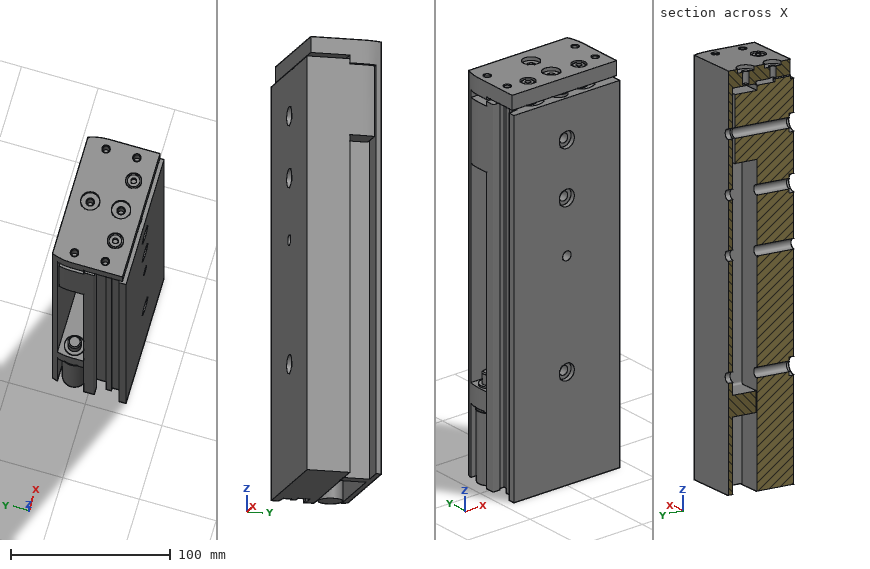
import cadquery as cq
import math

overall_depth = 49.0
overall_height = 279.5

housing_half_width = 42.5
housing_top = 266.7
housing_back = 27.7

plate_edge = 4.8
plate_root = 6.0
lip_front = 11.2
lip_back = 14.5
slot_back = 20.7
slot_corner_radius = 0.5
undercut_back = 22.5
groove_depth = 7.3
slot_mouth_depth = 5.3
slot_depth = 10.0

block_bottom = 217.8
block_top = 263.5
block_back = 44.0

boss_diameter = 12.0
boss_y = 8.5
boss_height = 2.0

hole_pitch = 40.0
first_hole_z = 78.0
counterbored_hole_z = [first_hole_z + hole_pitch * step for step in (0, 3, 4)]
plain_hole_z = first_hole_z + hole_pitch * 2
mounting_hole_diameter = 6.7
counterbore_diameter = 12.0
housing_counterbore_depth = 3.4

slide_half_width = 42.0
slide_bottom = 0.8
slide_front = 28.0
back_plate_front = 45.3
end_plate_front = 2.5
end_plate_bottom = 269.3
pocket_top = 267.5
pocket_fillet = 1.7
bracket_bottom = 51.7
bracket_top = 66.3
web_left = 16.8
web_right = 25.2
web_clearance = 0.8
right_pocket_top = 264.2

crown_start = 36.0
crown_radius = 36.3

end_row_front = 15.7
end_row_back = 35.8
thread_x = 35.2
thread_diameter = 4.2
thread_chamfer = 0.5
thread_depth = 8.5
end_counterbore_depth = 2.5

rod_x = 20.5
rod_y = 13.5
rod_diameter = 11.0
rod_neck_diameter = 10.0
rod_insertion = 28.0
rod_top = 279.0
rod_chamfer = 1.0
rod_recess_diameter = 20.0
rod_recess_depth = 1.5
rod_socket_diameter = 3.5
rod_socket_depth = 2.8

shock_x = -33.8
shock_y = 36.0
shock_diameter = 15.7
shock_collar_diameter = 16.8
shock_collar_height = 1.7
shock_neck_diameter = 13.0
shock_neck_height = 1.0
plunger_diameter = 8.5
plunger_top = 75.5
plunger_chamfer = 0.8

spare = 2.8


def box_between(x_range, y_range, z_range):
    """Box given by its lower and upper limit on each axis."""
    size = [high - low for low, high in (x_range, y_range, z_range)]
    corner = (x_range[0], y_range[0], z_range[0])
    return cq.Workplane("XY").box(*size, centered=False).translate(corner)


def cylinder(diameter, x, y, z_low, z_high):
    """Upright cylinder between two heights."""
    base = cq.Workplane("XY", origin=(x, y, z_low))
    return base.circle(diameter / 2).extrude(z_high - z_low)


def hole_along_y(diameter, z, y_low, y_high):
    """Cutter on the middle plane X = 0, running along Y."""
    base = cq.Workplane("XZ", origin=(0, y_low, z))
    return base.circle(diameter / 2).extrude(y_low - y_high)


def crowned_block(half_width, y_front, y_back, z_low, z_high):
    """Block whose two back corners follow the crown arc."""
    arc_centre_x = half_width - crown_radius

    def crown_x(y):
        return arc_centre_x + math.sqrt(crown_radius**2 - (y - crown_start)**2)

    y_middle = (crown_start + y_back) / 2
    outline = (
        cq.Workplane("XY", origin=(0, 0, z_low))
        .moveTo(-half_width, y_front)
        .lineTo(half_width, y_front)
        .lineTo(half_width, crown_start)
        .threePointArc((crown_x(y_middle), y_middle), (crown_x(y_back), y_back))
        .lineTo(-crown_x(y_back), y_back)
        .threePointArc((-crown_x(y_middle), y_middle), (-half_width, crown_start))
        .close()
    )
    return outline.extrude(z_high - z_low)


def make_rail():
    """Straight housing profile with the groove and T-slot on its -X side."""
    side = -housing_half_width
    profile = (
        cq.Workplane("XY")
        .moveTo(housing_half_width, 0)
        .lineTo(side, 0)
        .lineTo(side, plate_edge)
        .lineTo(side + groove_depth, plate_root)
        .lineTo(side + groove_depth, lip_front)
        .lineTo(side + slot_mouth_depth, lip_front)
        .lineTo(side + slot_mouth_depth, lip_back)
        .lineTo(side + slot_depth, lip_back)
        .lineTo(side + slot_depth, undercut_back)
        .lineTo(side + slot_mouth_depth, undercut_back)
        .lineTo(side + slot_mouth_depth, slot_back)
        .lineTo(side + slot_corner_radius, slot_back)
        .radiusArc((side, slot_back + slot_corner_radius), slot_corner_radius)
        .lineTo(side, housing_back)
        .lineTo(housing_half_width, housing_back)
        .close()
    )
    return profile.extrude(housing_top)


def make_stop_block():
    """Stop block on the back of the rail, slotted for the web of the slide."""
    block = crowned_block(
        housing_half_width, housing_back, block_back, block_bottom, block_top
    )
    web_slot = box_between(
        (web_left - web_clearance, web_right + web_clearance),
        (housing_back, block_back + spare),
        (block_bottom - spare, block_top + spare),
    )
    return block.cut(web_slot)


def drill_mounting_holes(body):
    """Holes through the body along Y, on the middle plane."""
    for z in counterbored_hole_z:
        body = body.cut(hole_along_y(mounting_hole_diameter, z, -spare, overall_depth + spare))
    return body.cut(hole_along_y(mounting_hole_diameter, plain_hole_z, -spare, overall_depth + spare))


def make_housing():
    housing = make_rail().union(make_stop_block())
    boss = cylinder(boss_diameter, 0, boss_y, housing_top - spare, housing_top + boss_height)
    housing = drill_mounting_holes(housing.union(boss))
    for z in counterbored_hole_z:
        housing = housing.cut(
            hole_along_y(counterbore_diameter, z, -spare, housing_counterbore_depth)
        )
    for x in (-rod_x, rod_x):
        bore = cylinder(rod_diameter, x, rod_y, housing_top - rod_insertion, housing_top + spare)
        recess = cylinder(
            rod_recess_diameter, x, rod_y, housing_top - rod_recess_depth, housing_top + spare
        )
        housing = housing.cut(bore).cut(recess)
    return housing


def cut_slide_pockets(slide):
    """Pockets above and below the bracket, and the one beyond the web."""
    pocket_y = (slide_front - spare, back_plate_front)
    left = (-slide_half_width - spare, web_left)
    right = (web_right, slide_half_width + spare)
    upper = box_between(left, pocket_y, (bracket_top, pocket_top))
    upper = upper.edges("|Y and >X").fillet(pocket_fillet)
    lower = box_between(left, pocket_y, (slide_bottom - spare, bracket_bottom))
    far_side = box_between(right, pocket_y, (slide_bottom - spare, right_pocket_top))
    return slide.cut(upper).cut(lower).cut(far_side)


def threaded_hole(x, y, z_top):
    """Cutter for a blind hole from above with a chamfered mouth."""
    radius = thread_diameter / 2
    half_section = (
        cq.Workplane("XZ", origin=(x, y, z_top))
        .moveTo(0, 0)
        .lineTo(radius + thread_chamfer, 0)
        .lineTo(radius, -thread_chamfer)
        .lineTo(radius, -thread_depth)
        .lineTo(0, -thread_depth)
        .close()
    )
    return half_section.revolve(360, (0, 0, 0), (0, 1, 0))


def drill_end_plate(slide):
    """Threaded holes, counterbored holes and piston rod holes from the top."""
    top = overall_height
    for y in (end_row_front, end_row_back):
        for x in (-thread_x, thread_x):
            slide = slide.cut(threaded_hole(x, y, top))
        counterbore_floor = top - end_counterbore_depth
        slide = slide.cut(cylinder(counterbore_diameter, 0, y, counterbore_floor, top))
        slide = slide.cut(threaded_hole(0, y, counterbore_floor))
    for x in (-rod_x, rod_x):
        slide = slide.cut(cylinder(rod_neck_diameter, x, rod_y, end_plate_bottom, top))
    return slide


def make_slide():
    slide = crowned_block(
        slide_half_width, slide_front, overall_depth, slide_bottom, overall_height
    )
    slide = cut_slide_pockets(slide)
    end_plate = box_between(
        (-slide_half_width, slide_half_width),
        (end_plate_front, slide_front),
        (end_plate_bottom, overall_height),
    )
    slide = drill_end_plate(slide.union(end_plate))
    slide = drill_mounting_holes(slide)
    shock_hole = cylinder(shock_neck_diameter, shock_x, shock_y, bracket_bottom, bracket_top)
    return slide.cut(shock_hole)


def make_piston_rod(x):
    """Rod from its bore in the housing, with a socketed neck in the end plate."""
    shank = cylinder(rod_diameter, x, rod_y, housing_top - rod_insertion, end_plate_bottom)
    neck = cylinder(rod_neck_diameter, x, rod_y, end_plate_bottom, rod_top)
    rod = shank.union(neck.faces(">Z").chamfer(rod_chamfer))
    socket = cylinder(rod_socket_diameter, x, rod_y, rod_top - rod_socket_depth, rod_top)
    return rod.cut(socket)


def make_shock_absorber():
    """Body and collar under the bracket, neck through it, plunger above."""
    collar_bottom = bracket_bottom - shock_collar_height
    neck_top = bracket_top + shock_neck_height
    body = cylinder(shock_diameter, shock_x, shock_y, 0, collar_bottom)
    collar = cylinder(shock_collar_diameter, shock_x, shock_y, collar_bottom, bracket_bottom)
    neck = cylinder(shock_neck_diameter, shock_x, shock_y, bracket_bottom, neck_top)
    plunger = cylinder(plunger_diameter, shock_x, shock_y, neck_top, plunger_top)
    plunger = plunger.faces(">Z").chamfer(plunger_chamfer)
    return body.union(collar).union(neck).union(plunger)


housing = make_housing()
slide = make_slide()
piston_rods = [make_piston_rod(x) for x in (-rod_x, rod_x)]
shock_absorber = make_shock_absorber()

result = cq.Compound.makeCompound([
    housing.val(),
    slide.val(),
    *[rod.val() for rod in piston_rods],
    shock_absorber.val(),
])